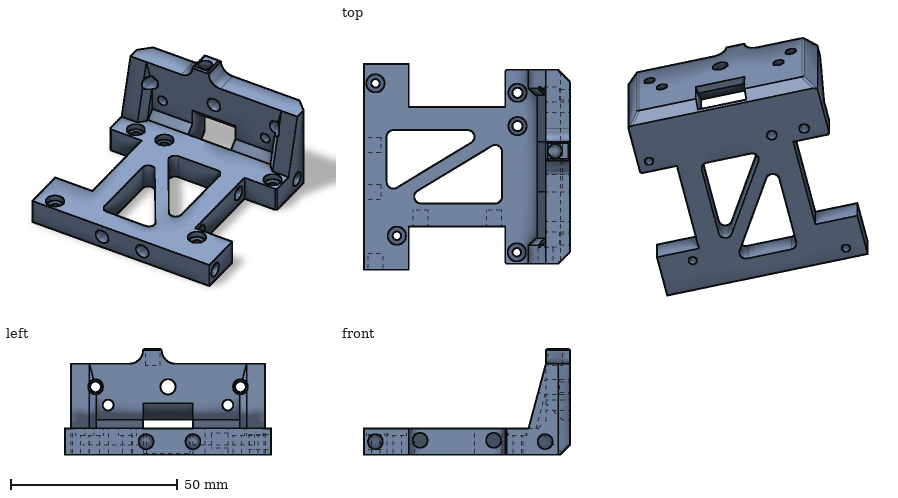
import cadquery as cq
import math

length = 62.0
bar_length = 13.5
bar_half_width = 31.0
web_half_width = 18.0
plate_thickness = 8.0
block_start = 42.5
block_half_width = 29.25
block_corner_chamfer = 0.5

wall_top = 27.5
rib_foot = 49.5
rib_slope = 15.0
wall_face = rib_foot + (wall_top - plate_thickness) * math.tan(math.radians(rib_slope))
wall_thickness = length - wall_face
rib_inner = 21.55
rib_chamfer = 2.1
wall_foot_bevel = 2.55
wall_corner_chamfer = 3.6
wall_bottom_chamfer = 3.0
wall_edge_round = 1.0

window_half_width = 7.5
window_front_top = 15.5
window_back_top = plate_thickness + wall_foot_bevel

nub_top = 32.0
nub_center = 4.7
nub_half_width = 2.85
nub_round = 4.0
nub_chamfer = 0.5

pocket_start = 6.85
pocket_end = 41.5
pocket_half_width = 11.0
pocket_corner_radius = 2.0
diagonal_width = 4.1
diagonal_angle = 31.2

screw_holes = [
    (3.45, 25.1, 2.5),
    (9.9, -20.75, 2.5),
    (46.0, -25.75, 2.5),
    (46.2, 22.25, 3.0),
    (46.2, 12.25, 3.0),
]
screw_head_diameter = 5.5
screw_head_depth = 2.0

insert_diameter = 4.5
insert_depth = 5.0
outer_insert_height = 4.0
web_insert_height = 4.4
bar_insert_x = 3.45
web_insert_xs = (16.9, 39.0)
block_insert_x = 54.5
rear_insert_ys = (6.6, -7.5)
nub_insert_x = 57.5
nub_insert_diameter = 4.3

wall_center_diameter = 4.5
wall_upper_height = 20.5
wall_upper_spacing = 43.6
wall_lower_height = 15.0
wall_lower_spacing = 36.0
wall_screw_diameter = 3.2
wall_counterbore_diameter = 4.5
wall_counterbore_depth = 4.0


def box(x0, x1, half_width, z0, z1):
    """Block symmetric about the XZ plane."""
    block = cq.Workplane("XY").box(x1 - x0, 2 * half_width, z1 - z0, centered=False)
    return block.translate((x0, -half_width, z0))


def side_prism(points, y0, y1):
    """XZ outline swept from y0 to y1."""
    return cq.Workplane("XZ", origin=(0, y0, 0)).polyline(points).close().extrude(y0 - y1)


def hole(start, direction, diameter, depth):
    """Cylinder running from start along direction."""
    cylinder = cq.Solid.makeCylinder(diameter / 2, depth, cq.Vector(*start), cq.Vector(*direction))
    return cq.Workplane(cylinder)


def corner_cutter():
    """Triangular prism that bevels the +Y outer corner over the full height."""
    corner = [
        (length, block_half_width),
        (length - wall_corner_chamfer, block_half_width),
        (length, block_half_width - wall_corner_chamfer),
    ]
    return cq.Workplane("XY").polyline(corner).close().extrude(wall_top)


def make_front_block():
    """L-shaped block with chamfered, rounded outer corners."""
    profile = [
        (block_start, 0),
        (length - wall_bottom_chamfer, 0),
        (length, wall_bottom_chamfer),
        (length, wall_top),
        (wall_face, wall_top),
        (wall_face, plate_thickness),
        (block_start, plate_thickness),
    ]
    block = side_prism(profile, -block_half_width, block_half_width)
    block = block.edges("|Z and <X").chamfer(block_corner_chamfer)
    cutter = corner_cutter()
    block = block.cut(cutter).cut(cutter.mirror("XZ"))
    for side in (-1, 1):
        edge_y = side * (block_half_width - wall_corner_chamfer)
        back_edge = cq.selectors.NearestToPointSelector((length, edge_y, wall_top / 2))
        chamfer_mid = wall_bottom_chamfer / 2
        bottom_edge = cq.selectors.NearestToPointSelector(
            (length - chamfer_mid, edge_y + side * chamfer_mid, chamfer_mid)
        )
        block = block.edges(back_edge + bottom_edge).fillet(wall_edge_round)
    return block


def make_rib():
    """Sloped rib on the +Y side, rooted in the plate, chamfered along its inner sloping edge."""
    rib_back = wall_face + wall_thickness / 4
    root_depth = plate_thickness / 4
    root_z = plate_thickness - root_depth
    root_x = rib_foot - root_depth * math.tan(math.radians(rib_slope))
    profile = [
        (root_x, root_z),
        (wall_face, wall_top),
        (rib_back, wall_top),
        (rib_back, root_z),
    ]
    rib = side_prism(profile, rib_inner, block_half_width)
    slope_middle = ((root_x + wall_face) / 2, rib_inner, (root_z + wall_top) / 2)
    return rib.edges(cq.selectors.NearestToPointSelector(slope_middle)).chamfer(rib_chamfer)


def make_foot_bevel():
    """45 degree bevel where the wall meets the plate between the ribs."""
    profile = [
        (wall_face - wall_foot_bevel, plate_thickness),
        (wall_face, plate_thickness + wall_foot_bevel),
        (wall_face, plate_thickness),
    ]
    return side_prism(profile, -rib_inner, rib_inner)


def make_nub():
    """Flared nub with concave sides and a chamfered top."""
    shoulder = wall_top + nub_round
    base_half = nub_half_width + nub_round
    sag = nub_round * (1 - math.sqrt(0.5))
    flare = (
        cq.Workplane("YZ", origin=(wall_face, nub_center, 0))
        .moveTo(-base_half, wall_top)
        .threePointArc((-nub_half_width - sag, wall_top + sag), (-nub_half_width, shoulder))
        .lineTo(-nub_half_width, nub_top)
        .lineTo(nub_half_width, nub_top)
        .lineTo(nub_half_width, shoulder)
        .threePointArc((nub_half_width + sag, wall_top + sag), (base_half, wall_top))
        .close()
        .extrude(wall_thickness)
    )
    cap = (
        cq.Workplane("XY", origin=(wall_face + wall_thickness / 2, nub_center, wall_top))
        .rect(wall_thickness, 2 * base_half)
        .extrude(shoulder - wall_top)
        .faces(">Z")
        .workplane()
        .rect(wall_thickness, 2 * nub_half_width)
        .workplane(offset=nub_top - shoulder)
        .rect(wall_thickness - 2 * nub_chamfer, 2 * (nub_half_width - nub_chamfer))
        .loft()
    )
    return flare.intersect(cap)


def make_pockets():
    """Two rounded triangles, each the other turned half a turn about the web center."""
    center_x = (pocket_start + pocket_end) / 2
    slope = math.tan(math.radians(diagonal_angle))
    half_length = (pocket_end - pocket_start) / 2
    rise = diagonal_width / 2 / math.cos(math.radians(diagonal_angle))
    triangle = [
        (-half_length, pocket_half_width),
        ((pocket_half_width - rise) / slope, pocket_half_width),
        (-half_length, rise - half_length * slope),
    ]
    pocket = cq.Workplane("XY").polyline(triangle).close().extrude(plate_thickness)
    pocket = pocket.edges("|Z").fillet(pocket_corner_radius)
    opposite = pocket.rotate((0, 0, 0), (0, 0, 1), 180)
    return pocket.union(opposite).translate((center_x, 0, 0))


def make_window():
    """Opening in the wall foot: sloping roof, and a 45 degree floor falling toward the back."""
    floor_start = wall_face - wall_foot_bevel
    profile = [
        (floor_start, plate_thickness),
        (floor_start, window_front_top),
        (wall_face, window_front_top),
        (wall_face + window_front_top - window_back_top, window_back_top),
        (length, window_back_top),
        (length, 0),
        (floor_start + plate_thickness, 0),
    ]
    return side_prism(profile, -window_half_width, window_half_width)


def cut_screw_holes(body):
    """Counterbored holes, heads sunk in the plate's top face."""
    for x, y, diameter in screw_holes:
        body = body.cut(hole((x, y, 0), (0, 0, 1), diameter, plate_thickness))
        head_floor = plate_thickness - screw_head_depth
        body = body.cut(hole((x, y, head_floor), (0, 0, 1), screw_head_diameter, screw_head_depth))
    return body


def cut_inserts(body):
    """Blind insert holes in the bar, web and block edges and in the nub."""
    nub_opening = (nub_insert_x, nub_center, nub_top)
    body = body.cut(hole(nub_opening, (0, 0, -1), nub_insert_diameter, insert_depth))
    openings = []
    for y in rear_insert_ys:
        openings.append(((0, y, outer_insert_height), (1, 0, 0)))
    side_inserts = [
        (bar_insert_x, bar_half_width, outer_insert_height),
        (block_insert_x, block_half_width, outer_insert_height),
    ]
    for x in web_insert_xs:
        side_inserts.append((x, web_half_width, web_insert_height))
    for x, half_width, z in side_inserts:
        openings.append(((x, -half_width, z), (0, 1, 0)))
    for start, direction in openings:
        body = body.cut(hole(start, direction, insert_diameter, insert_depth))
    return body


def cut_wall_holes(body):
    """Center hole, two plain screw holes and two counterbored holes along X."""
    along_x = (1, 0, 0)
    body = body.cut(hole((wall_face, 0, wall_upper_height), along_x, wall_center_diameter, wall_thickness))
    reach = length - rib_foot
    counterbore_reach = wall_face + wall_counterbore_depth - rib_foot
    for side in (-1, 1):
        lower = (rib_foot, side * wall_lower_spacing / 2, wall_lower_height)
        upper = (rib_foot, side * wall_upper_spacing / 2, wall_upper_height)
        body = body.cut(hole(lower, along_x, wall_screw_diameter, reach))
        body = body.cut(hole(upper, along_x, wall_screw_diameter, reach))
        body = body.cut(hole(upper, along_x, wall_counterbore_diameter, counterbore_reach))
    return body


rib = make_rib()
body = box(0, bar_length, bar_half_width, 0, plate_thickness)
body = body.union(box(bar_length, block_start, web_half_width, 0, plate_thickness))
body = body.union(make_front_block()).union(rib).union(rib.mirror("XZ"))
body = body.union(make_foot_bevel()).union(make_nub()).clean()
body = body.cut(make_pockets()).cut(make_window())
result = cut_wall_holes(cut_inserts(cut_screw_holes(body)))